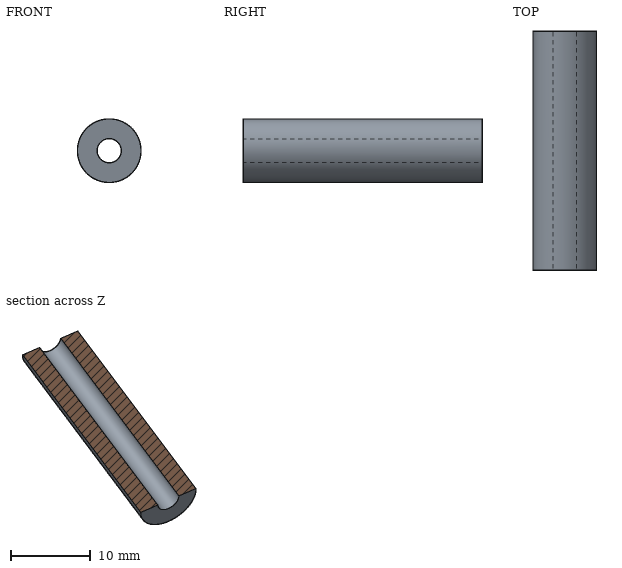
import cadquery as cq

length = 30.0
outer_diameter = 8.0
bore_diameter = 3.0

result = (
    cq.Workplane("XZ", origin=(0, length / 2, 0))
    .circle(outer_diameter / 2)
    .circle(bore_diameter / 2)
    .extrude(length)
)